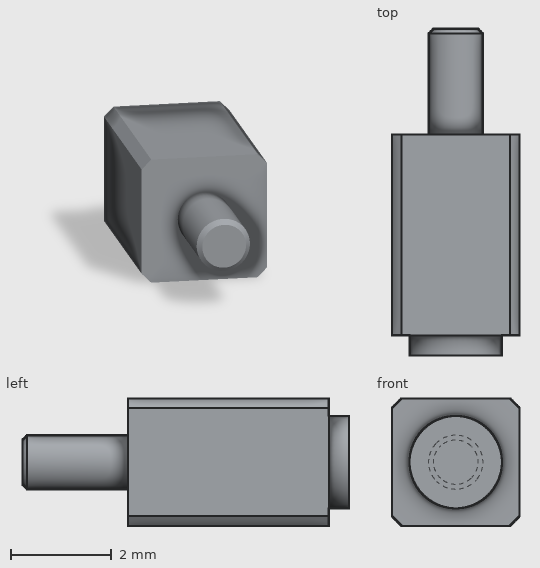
import cadquery as cq

total_length = 6.5
body_width = 2.54
body_length = 4.0
body_edge_chamfer = 0.195
head_diameter = 1.84
head_length = 0.4
pin_diameter = 1.08
pin_tip_chamfer = 0.1

body_start = head_length
pin_start = body_start + body_length
pin_length = total_length - pin_start


def cylinder_along_y(diameter, start, length):
    """Solid cylinder on the part's axis, running toward +Y from start."""
    plane = cq.Plane(origin=(0, start, 0), xDir=(1, 0, 0), normal=(0, 1, 0))
    return cq.Workplane(plane).circle(diameter / 2).extrude(length)


def make_body():
    """Square bar with its four long edges chamfered."""
    bar = cq.Workplane("XY").box(body_width, body_length, body_width)
    bar = bar.edges("|Y").chamfer(body_edge_chamfer)
    return bar.translate((0, body_start + body_length / 2, 0))


def make_pin():
    """Round pin with a chamfered free end."""
    pin = cylinder_along_y(pin_diameter, pin_start, pin_length)
    return pin.faces(">Y").chamfer(pin_tip_chamfer)


head = cylinder_along_y(head_diameter, 0, head_length)
result = make_body().union(head).union(make_pin())